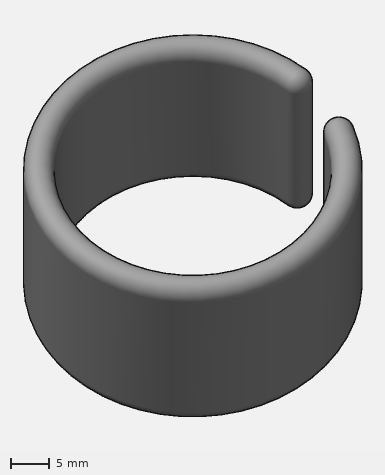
import cadquery as cq
import math

outer_radius = 22.0
wall = 4.0
height = 27.0
gap_width = 6.0

inner_radius = outer_radius - wall
edge_radius = wall / 2
mid_radius = outer_radius - edge_radius
half_height = height / 2
straight_half = half_height - edge_radius
end_angle = math.degrees(math.asin((gap_width / 2 + edge_radius) / mid_radius))
sweep_angle = 360 - 2 * end_angle

Z_AXIS = ((0, 0, 0), (0, 0, 1))


def make_band():
    """Open band with fully rounded rims, swept about Z from one end of the gap to the other."""
    section = (
        cq.Workplane("XZ")
        .moveTo(inner_radius, -straight_half)
        .lineTo(inner_radius, straight_half)
        .threePointArc((mid_radius, half_height), (outer_radius, straight_half))
        .lineTo(outer_radius, -straight_half)
        .threePointArc((mid_radius, -half_height), (inner_radius, -straight_half))
        .close()
    )
    band = section.revolve(sweep_angle, (0, 0, 0), (0, 1, 0))
    return band.rotate(*Z_AXIS, 90 + end_angle)


def make_end(side):
    """Half-round end post with quarter-sphere tips; side is +1 for the +X end, -1 for the -X end."""
    rim_offset = edge_radius * math.sqrt(0.5)
    half_section = (
        cq.Workplane("XZ")
        .moveTo(0, -half_height)
        .lineTo(0, half_height)
        .threePointArc((rim_offset, straight_half + rim_offset), (edge_radius, straight_half))
        .lineTo(edge_radius, -straight_half)
        .threePointArc((rim_offset, -straight_half - rim_offset), (0, -half_height))
        .close()
    )
    post = half_section.revolve(180, (0, 0, 0), (0, side, 0))
    return post.translate((mid_radius, 0, 0)).rotate(*Z_AXIS, 90 - side * end_angle)


result = make_band().union(make_end(1)).union(make_end(-1))